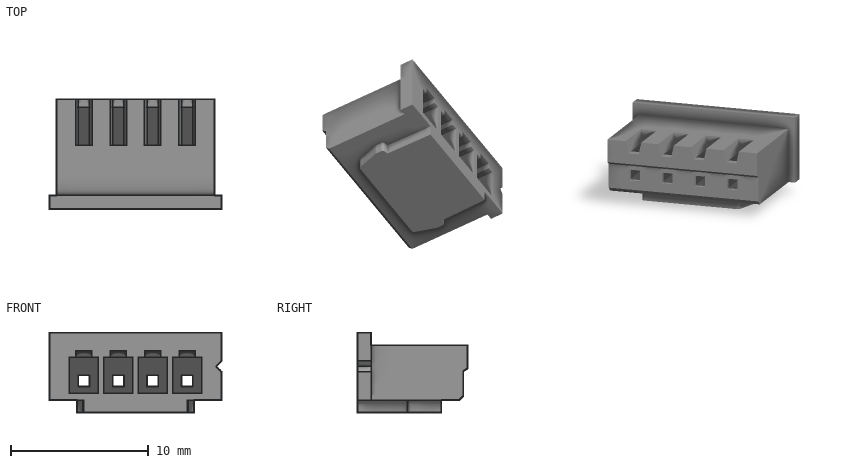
import cadquery as cq
import math


flange_length = 12.5
flange_thickness = 1.0
flange_height = 4.9
notch_depth = 0.4

body_margin = 0.5
body_height = 4.0
total_depth = 8.0
back_step_depth = 0.3
step_low_z = 2.1
step_high_z = 2.3
bottom_chamfer = 0.3

contact_count = 4
contact_pitch = 2.5

cavity_width = 2.1
cavity_floor_z = 0.5
cavity_height = 2.6
back_wall = 0.3
keyway_width = 1.15
keyway_height = 0.5
keyway_depth = 2.5
pin_hole_size = 0.8
pin_hole_z = 1.4

slot_top_width = 1.2
slot_bottom_width = 0.8
slot_length = 3.35

tab_height = 0.9
tab_front_half_width = 3.75
tab_rear_half_width = 3.81
tab_length = 6.1
barb_half_width = 4.25
barb_start_y = 3.61
barb_side_end_y = 4.35
barb_angle = 17.5
barb_radius = 0.21

centre_x = flange_length / 2
cavity_top_z = cavity_floor_z + cavity_height
cavity_depth = total_depth - back_step_depth - back_wall
first_contact_x = centre_x - contact_pitch * (contact_count - 1) / 2
contact_xs = [first_contact_x + i * contact_pitch for i in range(contact_count)]


def box(x_min, x_max, y_min, y_max, z_min, z_max):
    """Rectangular block between the given limits."""
    block = cq.Workplane("XY").box(x_max - x_min, y_max - y_min, z_max - z_min, centered=False)
    return block.translate((x_min, y_min, z_min))


def make_flange():
    """Front plate with a V notch halfway up its right end."""
    mid_z = flange_height / 2
    outline = [
        (0, 0),
        (flange_length, 0),
        (flange_length, mid_z - notch_depth),
        (flange_length - notch_depth, mid_z),
        (flange_length, mid_z + notch_depth),
        (flange_length, flange_height),
        (0, flange_height),
    ]
    return cq.Workplane("XZ").polyline(outline).close().extrude(-flange_thickness)


def make_body():
    """Side profile with a stepped, chamfered back, swept across the width."""
    step_y = total_depth - back_step_depth
    profile = [
        (0, 0),
        (step_y - bottom_chamfer, 0),
        (step_y, bottom_chamfer),
        (step_y, step_low_z),
        (total_depth, step_high_z),
        (total_depth, body_height),
        (0, body_height),
    ]
    body = cq.Workplane("YZ").polyline(profile).close().extrude(flange_length - 2 * body_margin)
    return body.translate((body_margin, 0, 0))


def make_tab():
    """Flat plate whose plan widens slightly from the front, then hooks out into a rounded barb."""
    slope = math.tan(math.radians(barb_angle))
    barb_tip_y = barb_start_y + (barb_half_width - tab_rear_half_width) * slope
    tail_half_width = barb_half_width - (tab_length - barb_side_end_y) * slope
    right_side = [
        (tab_front_half_width, 0),
        (tab_rear_half_width, barb_start_y),
        (barb_half_width, barb_tip_y),
        (barb_half_width, barb_side_end_y),
        (tail_half_width, tab_length),
    ]
    left_side = [(-x, y) for x, y in reversed(right_side)]
    tab = cq.Workplane("XY").polyline(right_side + left_side).close().extrude(-tab_height)

    barb_zone = cq.selectors.BoxSelector(
        (-flange_length, (barb_start_y + barb_tip_y) / 2, -tab_height),
        (flange_length, total_depth, 0),
    )
    tab = tab.edges("|Z").edges(barb_zone).fillet(barb_radius)
    return tab.translate((centre_x, 0, 0))


def make_contact_void(x):
    """Everything removed for one contact centred at the given X."""
    cavity_half = cavity_width / 2
    cavity = box(x - cavity_half, x + cavity_half, 0, cavity_depth, cavity_floor_z, cavity_top_z)

    pin_half = pin_hole_size / 2
    pin_low_z = pin_hole_z - pin_half
    pin_high_z = pin_hole_z + pin_half
    pin_hole = box(x - pin_half, x + pin_half, 0, total_depth, pin_low_z, pin_high_z)

    keyway_top_z = cavity_top_z + keyway_height
    keyway_profile = [
        (0, cavity_top_z),
        (keyway_depth + keyway_height, cavity_top_z),
        (keyway_depth, keyway_top_z),
        (0, keyway_top_z),
    ]
    keyway = cq.Workplane("YZ").polyline(keyway_profile).close().extrude(keyway_width / 2, both=True)
    keyway = keyway.translate((x, 0, 0))

    slot_profile = [
        (x - slot_bottom_width / 2, cavity_top_z),
        (x + slot_bottom_width / 2, cavity_top_z),
        (x + slot_top_width / 2, body_height),
        (x - slot_top_width / 2, body_height),
    ]
    slot = cq.Workplane("XZ").polyline(slot_profile).close().extrude(slot_length)
    slot = slot.translate((0, total_depth, 0))
    return cavity.union(pin_hole).union(keyway).union(slot)


result = make_flange().union(make_body()).union(make_tab())
for contact_x in contact_xs:
    result = result.cut(make_contact_void(contact_x))